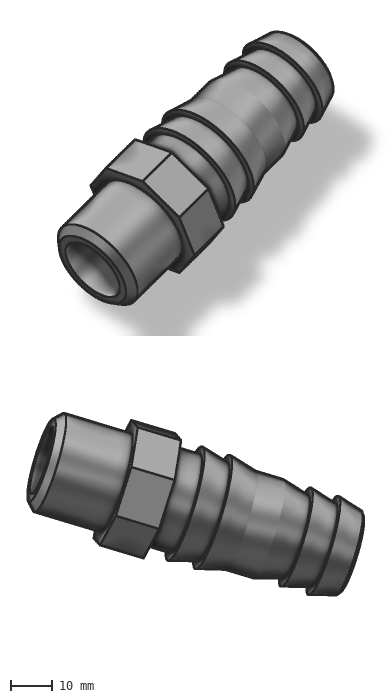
import cadquery as cq

length = 79.0
collar_start = 18.95
collar_end = 30.0
large_barbs_start = 36.65
barb_pitch = 7.0
large_barb_count = 2
small_barb_count = 3
small_barbs_start = length - small_barb_count * barb_pitch

bore_diameter = 17.0
body_diameter = 25.0
large_barb_diameter = 28.75
small_barb_root_diameter = 21.0
octagon_corner_diameter = 32.5

octagon_sides = 8
end_chamfer = 2.0
tip_chamfer = 0.7


def cylinder(diameter, start, end):
    """Solid cylinder on the Y axis between two stations."""
    return cq.Workplane("XZ", origin=(0, start, 0)).circle(diameter / 2).extrude(start - end)


def barb(crest_diameter, root_diameter, start):
    """One barb: a sharp crest at start, tapering to its root one pitch later."""
    profile = [
        (0, start),
        (crest_diameter / 2, start),
        (root_diameter / 2, start + barb_pitch),
        (0, start + barb_pitch),
    ]
    return cq.Workplane("XY").polyline(profile).close().revolve(360, (0, 0, 0), (0, 1, 0))


result = cylinder(body_diameter, 0, small_barbs_start).faces("<Y").chamfer(end_chamfer)

collar = (
    cq.Workplane("XZ", origin=(0, collar_start, 0))
    .polygon(octagon_sides, octagon_corner_diameter)
    .extrude(collar_start - collar_end)
)
result = result.union(collar)

for index in range(large_barb_count):
    start = large_barbs_start + index * barb_pitch
    result = result.union(barb(large_barb_diameter, body_diameter, start))

for index in range(small_barb_count):
    start = small_barbs_start + index * barb_pitch
    result = result.union(barb(body_diameter, small_barb_root_diameter, start))

result = result.faces(">Y").chamfer(tip_chamfer)
result = result.cut(cylinder(bore_diameter, 0, length))